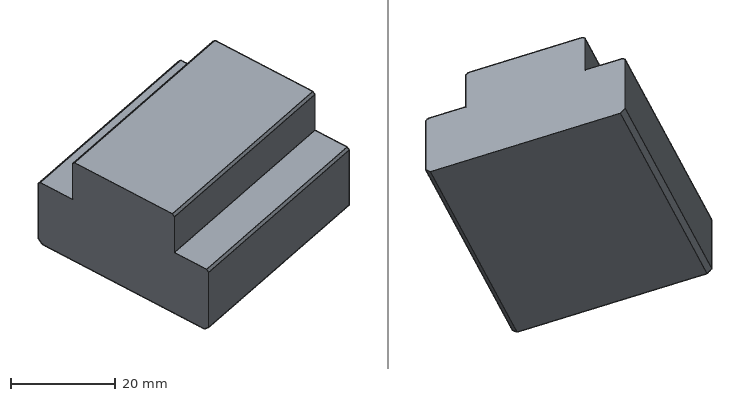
import cadquery as cq

length = 44.0
base_width = 41.3
total_height = 25.57

base_height = 15.8
neck_width = 24.7

upper_chamfer = 0.5
bottom_chamfer = 1.0


def centred_bar(width, bottom, top):
    """Rectangular bar centred on X and Y, between two heights."""
    return (
        cq.Workplane("XY")
        .workplane(offset=bottom)
        .rect(width, length)
        .extrude(top - bottom)
    )


base = centred_bar(base_width, 0.0, base_height)
base = base.faces("<Z").edges("|Y").chamfer(bottom_chamfer)
base = base.faces(">Z").edges("|Y").chamfer(upper_chamfer)

neck = centred_bar(neck_width, base_height, total_height)
neck = neck.faces(">Z").edges("|Y").chamfer(upper_chamfer)

result = base.union(neck)